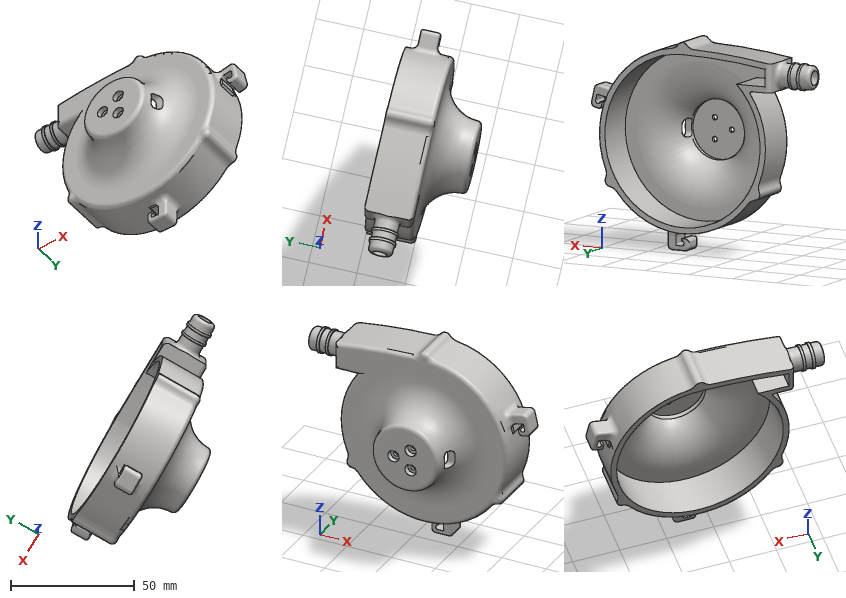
import cadquery as cq
import math


wall = 2.5
edge_round = 2.0

cavity_radius = 71.0 / 2
scroll_radius = cavity_radius + wall
scroll_depth = 19.9
roof_radius = 254.2
outlet_x = -40.3
duct_floor_z = 22.9
duct_corner_round = 0.7

hub_depth = 36.5
motor_radius = 25.0 / 2
hub_radius = motor_radius + wall
hub_round = 1.9
hub_straight = 2.0
hub_floor = 4.0
flare_radius = 30.0
screw_hole_diameter = 2.2
screw_head_diameter = 5.0
screw_head_depth = 2.5
screw_circle_radius = 5.2
screw_angles = (60, 180, 300)
cable_slot_width = 7.6
cable_slot_front = 31.3
cable_slot_back = 26.4
cable_slot_round = 2.0

boss_radius = 2.5
boss_angles = (90, 210, 330)
boss_flare = 5.0
boss_round = 2.0

nozzle_tip_x = -55.1
nozzle_y = -10.0
nozzle_z = 28.9
nozzle_radius = 5.0
nozzle_bore_diameter = 6.0
nozzle_tip_round = 1.5
nozzle_root_round = 2.0
ring_radius = 5.5
ring_cove = 0.4
rings = ((-50.8, 1.2), (-46.8, 1.1))

hook_width = 8.0
hook_center_y = -8.8
hook_bottom_z = -46.1
hook_left_x = -0.2
hook_stem_left_x = 5.6
hook_right_x = 9.5
hook_bar = 2.1
hook_toe_height = 5.1
hook_toe_round = 1.6
hook_throat_radius = 1.05
hook_throat_round = 0.7
hook_corner_round = 2.0
hook_edge_round = 1.0
hook_lug_left_x = 1.7
hook_lug_z = -38.9
hook_root_round = 3.0
hook_angles = (0, 102.7)


selector_margin = 0.2


def front_plane(y):
    """XZ sketch plane at the given Y, extruding towards -Y."""
    return cq.Workplane("XZ", origin=(0, y, 0))


def roof_point(x, inset=0):
    """Point on the gently curved duct roof, which is tangent to the top of the disc."""
    return (x, scroll_radius - roof_radius + math.sqrt((roof_radius - inset) ** 2 - x**2))


def scroll(inset, depth):
    """Disc and outlet duct, all outer faces moved inwards by the inset."""
    radius = scroll_radius - inset
    left = outlet_x + inset
    disc = front_plane(0).circle(radius).extrude(depth)
    duct = (
        front_plane(0)
        .moveTo(0, radius)
        .threePointArc(roof_point(left / 2, inset), roof_point(left, inset))
        .lineTo(left, duct_floor_z + inset)
        .lineTo(0, duct_floor_z + inset)
        .close()
        .extrude(depth)
    )
    return disc.union(duct)


def box_around(x, z, reach):
    """Selector for edges centred near (x, z), at any depth of the scroll."""
    return cq.selectors.BoxSelector((x - reach, -scroll_depth, z - reach), (x + reach, 0, z + reach))


def polar(radius, angle):
    """X and Z of a point at the given distance and angle from the fan axis."""
    angle = math.radians(angle)
    return (radius * math.cos(angle), radius * math.sin(angle))


def outer_body():
    """Scroll with rounded front edges and three domed screw bosses blended into it."""
    body = scroll(0, scroll_depth)
    body = body.faces("<Y").edges().fillet(edge_round)
    corner_x = -math.sqrt(scroll_radius**2 - duct_floor_z**2)
    corner = box_around(corner_x, duct_floor_z, duct_corner_round)
    blended = scroll(0, scroll_depth - edge_round).edges(corner).edges("|Y").fillet(duct_corner_round)
    body = body.union(blended)
    body = body.faces("<X").edges(">Y").fillet(edge_round)
    for angle in boss_angles:
        x, z = polar(scroll_radius, angle)
        boss = front_plane(0).center(x, z).circle(boss_radius).extrude(scroll_depth)
        boss = boss.faces("<Y").edges().fillet(boss_round)
        body = body.union(boss)
        sides = box_around(x, z, 1.2 * boss_radius)
        body = body.edges(sides).edges("|Y").fillet(boss_flare)
    return body


def hook():
    """J-shaped lower hook, running up into the scroll wall."""
    top_z = -math.sqrt((scroll_radius - wall / 2) ** 2 - hook_right_x**2)
    height = top_z - hook_bottom_z
    blank = (
        front_plane(hook_center_y + hook_width / 2)
        .center((hook_left_x + hook_right_x) / 2, hook_bottom_z + height / 2)
        .rect(hook_right_x - hook_left_x, height)
        .extrude(hook_width)
        .edges("|Y and <Z")
        .fillet(hook_corner_round)
        .faces("<Z")
        .edges("|X")
        .fillet(hook_edge_round)
    )
    toe_z = hook_bottom_z + hook_toe_height
    floor_z = hook_bottom_z + hook_bar
    throat = (hook_left_x + hook_bar + hook_throat_radius, floor_z + hook_throat_radius)
    lip_z = throat[1] + hook_throat_radius
    outline = (
        front_plane(0)
        .moveTo(hook_stem_left_x, top_z)
        .lineTo(hook_stem_left_x, floor_z + hook_throat_round)
        .radiusArc((hook_stem_left_x - hook_throat_round, floor_z), hook_throat_round)
        .lineTo(throat[0], floor_z)
        .threePointArc((throat[0] - hook_throat_radius, throat[1]), (throat[0], lip_z))
        .lineTo(throat[0], toe_z)
        .lineTo(hook_left_x + hook_toe_round, toe_z)
        .radiusArc((hook_left_x, toe_z - hook_toe_round), -hook_toe_round)
        .lineTo(hook_left_x, hook_bottom_z)
        .lineTo(hook_right_x, hook_bottom_z)
        .lineTo(hook_right_x, top_z)
        .close()
        .extrude(scroll_depth)
    )
    return blank.intersect(outline)


def hook_lug():
    """Wedge between the stem and the scroll wall, on the throat side."""
    top_z = -scroll_radius + wall / 2
    return (
        front_plane(hook_center_y + hook_width / 2)
        .moveTo(hook_left_x, top_z)
        .lineTo(hook_lug_left_x, hook_lug_z)
        .lineTo(hook_stem_left_x + wall / 2, hook_lug_z)
        .lineTo(hook_stem_left_x + wall / 2, top_z)
        .close()
        .extrude(hook_width)
    )


def turned(shape, angle):
    """Shape turned about the fan axis, counterclockwise as seen from the front."""
    return shape.rotate((0, 0, 0), (0, -1, 0), angle)


def add_hook(body, angle):
    body = turned(body, -angle).union(hook())
    seam_top_z = -scroll_radius + wall / 2
    seam_bottom_z = -scroll_radius - selector_margin
    root = cq.selectors.BoxSelector(
        (hook_stem_left_x - selector_margin, hook_center_y - hook_width, seam_bottom_z),
        (hook_right_x + selector_margin, hook_center_y + hook_width, seam_top_z),
    )
    body = body.edges(root).fillet(hook_root_round).union(hook_lug())
    return turned(body, angle)


def bell(inset, tip):
    """Motor hub flaring into the front of the scroll, offset inwards by the inset."""
    radius = hub_radius - inset
    base = scroll_depth - inset
    flare_width = flare_radius - hub_radius + inset
    flare_depth = tip - hub_straight - base
    arc_radius = (flare_width**2 + flare_depth**2) / (2 * flare_depth)
    return (
        cq.Workplane("XY")
        .moveTo(0, -base + wall)
        .lineTo(flare_radius, -base + wall)
        .lineTo(flare_radius, -base)
        .radiusArc((radius, -base - flare_depth), -arc_radius)
        .lineTo(radius, -tip)
        .lineTo(0, -tip)
        .close()
        .revolve(360, (0, 0, 0), (0, 1, 0))
    )


def nozzle():
    """Hose nozzle with two retaining rings and a flared root, as a solid turned part."""
    root_x = outlet_x - nozzle_root_round
    profile = (
        cq.Workplane("XY", origin=(0, nozzle_y, nozzle_z))
        .moveTo(nozzle_tip_x, 0)
        .lineTo(nozzle_tip_x, nozzle_radius - nozzle_tip_round)
        .radiusArc((nozzle_tip_x + nozzle_tip_round, nozzle_radius), nozzle_tip_round)
    )
    for left, width in rings:
        profile = (
            profile.lineTo(left - ring_cove, nozzle_radius)
            .radiusArc((left, nozzle_radius + ring_cove), -ring_cove)
            .lineTo(left, ring_radius)
            .lineTo(left + width, ring_radius)
            .lineTo(left + width, nozzle_radius)
        )
    turned_part = (
        profile.lineTo(root_x, nozzle_radius)
        .radiusArc((outlet_x, nozzle_radius + nozzle_root_round), -nozzle_root_round)
        .lineTo(outlet_x, 0)
        .close()
        .revolve(360, (0, 0, 0), (1, 0, 0))
    )
    roof_z = roof_point(outlet_x)[1]
    outlet_band = (
        front_plane(0)
        .moveTo(nozzle_tip_x, duct_floor_z)
        .lineTo(nozzle_tip_x, roof_z)
        .lineTo(outlet_x, roof_z)
        .lineTo(outlet_x, duct_floor_z)
        .close()
        .extrude(scroll_depth)
    )
    return turned_part.intersect(outlet_band)


def nozzle_bore():
    return (
        cq.Workplane("YZ", origin=(nozzle_tip_x, nozzle_y, nozzle_z))
        .circle(nozzle_bore_diameter / 2)
        .extrude(outlet_x + 2 * wall - nozzle_tip_x)
    )


def motor_screw_holes():
    """Three counterbored holes through the hub face."""
    centers = [polar(screw_circle_radius, angle) for angle in screw_angles]
    face = front_plane(-hub_depth).pushPoints(centers)
    holes = face.circle(screw_hole_diameter / 2).extrude(-hub_floor - wall)
    heads = face.circle(screw_head_diameter / 2).extrude(-screw_head_depth)
    return holes.union(heads)


def cable_slot():
    """Rounded window through the right side of the hub."""
    height = cable_slot_front - cable_slot_back
    return (
        cq.Workplane("YZ")
        .center(-(cable_slot_front + cable_slot_back) / 2, 0)
        .rect(height, cable_slot_width)
        .extrude(scroll_radius)
        .edges("|X")
        .fillet(cable_slot_round)
    )


body = outer_body()
for angle in hook_angles:
    body = add_hook(body, angle)
hub = bell(0, hub_depth).faces("<Y").edges().fillet(hub_round)
body = body.union(hub).union(nozzle())
motor_cavity = bell(wall, hub_depth - hub_floor)
body = body.cut(scroll(wall, scroll_depth - wall)).cut(motor_cavity)
result = body.cut(nozzle_bore()).cut(motor_screw_holes()).cut(cable_slot())